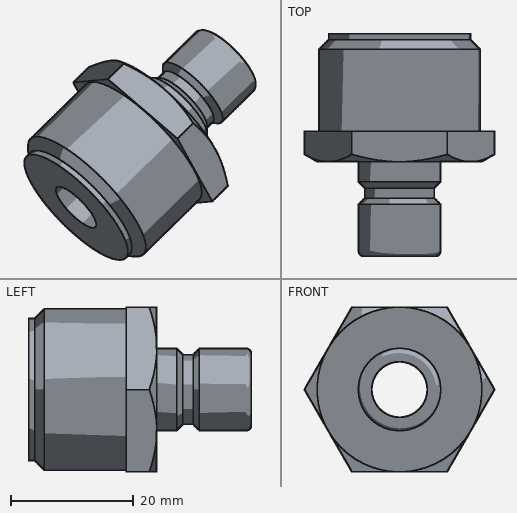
import cadquery as cq
import math

total_length = 36.5
bore_radius = 4.53

spigot_radius = 6.75
spigot_length = 15.5
tip_fillet = 0.9

groove_radius = 5.73
groove_start = 8.5
groove_width = 3.72
groove_flank_length = spigot_radius - groove_radius

hex_sides = 6
hex_across_flats = 27.0
hex_thickness = 5.0
hex_chamfer_angle = 30.0

body_radius = 13.25
collar_radius = 11.65
collar_length = 1.0
body_chamfer_length = 1.6

tip_y = -total_length / 2
hex_front_y = tip_y + spigot_length
hex_back_y = hex_front_y + hex_thickness
rear_y = tip_y + total_length
collar_y = rear_y - collar_length
body_end_y = collar_y - body_chamfer_length
groove_start_y = tip_y + groove_start
groove_end_y = groove_start_y + groove_width


def revolve_about_y(profile):
    """Revolve a closed outline of (radius, y) points about the Y axis."""
    return profile.close().revolve(360, (0, 0, 0), (0, 1, 0))


def make_spigot():
    fillet_middle = tip_fillet * (1 - math.sqrt(0.5))
    profile = (
        cq.Workplane("XY")
        .moveTo(0, tip_y)
        .lineTo(spigot_radius - tip_fillet, tip_y)
        .threePointArc(
            (spigot_radius - fillet_middle, tip_y + fillet_middle),
            (spigot_radius, tip_y + tip_fillet),
        )
        .lineTo(spigot_radius, groove_start_y)
        .lineTo(groove_radius, groove_start_y + groove_flank_length)
        .lineTo(groove_radius, groove_end_y - groove_flank_length)
        .lineTo(spigot_radius, groove_end_y)
        .lineTo(spigot_radius, hex_back_y)
        .lineTo(0, hex_back_y)
    )
    return revolve_about_y(profile)


def make_hexagon():
    """Hexagon with corners on the X axis and a conical chamfer on its front face."""
    corner_diameter = hex_across_flats / math.cos(math.pi / hex_sides)
    prism = (
        cq.Workplane("XZ", origin=(0, hex_back_y, 0))
        .polygon(hex_sides, corner_diameter)
        .extrude(hex_thickness)
    )
    face_radius = hex_across_flats / 2
    cone_radius = hex_across_flats
    cone_length = (cone_radius - face_radius) * math.tan(math.radians(hex_chamfer_angle))
    cone_back_y = hex_front_y + cone_length + hex_thickness
    cone = revolve_about_y(
        cq.Workplane("XY")
        .moveTo(0, hex_front_y)
        .lineTo(face_radius, hex_front_y)
        .lineTo(cone_radius, hex_front_y + cone_length)
        .lineTo(cone_radius, cone_back_y)
        .lineTo(0, cone_back_y)
    )
    return prism.intersect(cone)


def make_body():
    """Large cylinder with a tapered shoulder leading to a short end collar."""
    root_y = hex_back_y - hex_thickness / 2
    profile = (
        cq.Workplane("XY")
        .moveTo(0, root_y)
        .lineTo(body_radius, root_y)
        .lineTo(body_radius, body_end_y)
        .lineTo(collar_radius, collar_y)
        .lineTo(collar_radius, rear_y)
        .lineTo(0, rear_y)
    )
    return revolve_about_y(profile)


bore = cq.Workplane("XZ", origin=(0, rear_y, 0)).circle(bore_radius).extrude(total_length)

result = make_hexagon().union(make_spigot()).union(make_body()).cut(bore)